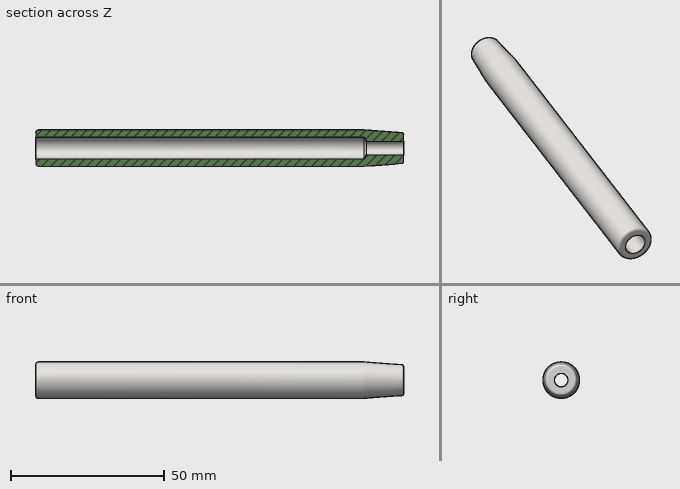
import cadquery as cq
import math

length = 120.0
body_diameter = 12.0
body_radius = body_diameter / 2

nose_length = 13.0
nose_end_diameter = 10.1

rear_rim_radius = 1.0
nose_rim_radius = 0.7

bore_mouth_diameter = 7.0
bore_exit_diameter = 4.3
shoulder_angle = 118.0

rear_x = -length / 2
front_x = length / 2
nose_start_x = front_x - nose_length
shoulder_step = (bore_mouth_diameter - bore_exit_diameter) / 2
shoulder_length = shoulder_step / math.tan(math.radians(shoulder_angle / 2))


def make_outer_body():
    """Round bar with a conical nose and rounded rims."""
    half_profile = (
        cq.Workplane("XY")
        .moveTo(rear_x, 0)
        .lineTo(rear_x, body_radius)
        .lineTo(nose_start_x, body_radius)
        .lineTo(front_x, nose_end_diameter / 2)
        .lineTo(front_x, 0)
        .close()
    )
    body = half_profile.revolve(360, (0, 0, 0), (1, 0, 0))
    body = body.faces("<X").edges().fillet(rear_rim_radius)
    return body.faces(">X").edges().fillet(nose_rim_radius)


def make_bore():
    """Stepped through passage whose conical shoulder starts level with the nose."""
    half_profile = (
        cq.Workplane("XY")
        .moveTo(rear_x, 0)
        .lineTo(rear_x, bore_mouth_diameter / 2)
        .lineTo(nose_start_x, bore_mouth_diameter / 2)
        .lineTo(nose_start_x + shoulder_length, bore_exit_diameter / 2)
        .lineTo(front_x, bore_exit_diameter / 2)
        .lineTo(front_x, 0)
        .close()
    )
    return half_profile.revolve(360, (0, 0, 0), (1, 0, 0))


result = make_outer_body().cut(make_bore())